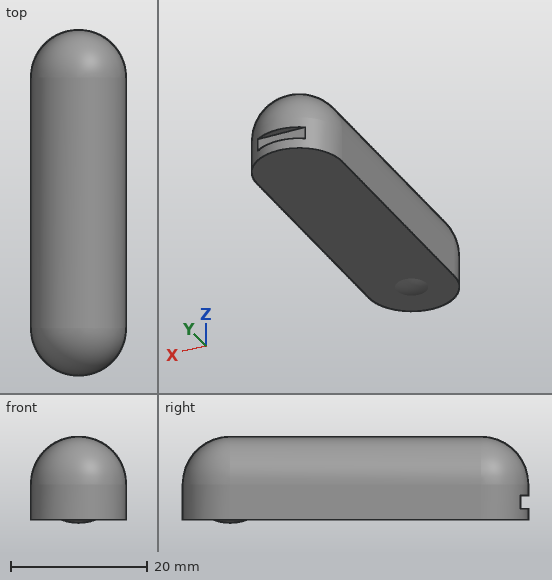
import cadquery as cq

length = 50.8
width = 14.0
height = 12.7
bump_height = 0.45
bump_radius = 2.45
notch_depth = 1.15
notch_height = 1.95

end_radius = width / 2
end_center_y = length / 2 - end_radius
wall_height = height - end_radius - bump_height

cap_sphere_radius = (bump_radius**2 + bump_height**2) / (2 * bump_height)


def lower_body():
    """Straight-walled stadium, with its flat base on Z = 0."""
    return cq.Workplane("XY").slot2D(length, width, 90).extrude(wall_height)


def rounded_top():
    """Upper half of a lengthwise round bar with ball ends, resting on the straight walls."""
    bar = cq.Workplane("XZ").circle(end_radius).extrude(end_center_y, both=True)
    ends = cq.Workplane("XY").pushPoints([(0, -end_center_y), (0, end_center_y)]).sphere(end_radius)
    upper_half = cq.Workplane("XY").box(width, length, end_radius, centered=(True, True, False))
    return bar.union(ends).intersect(upper_half).translate((0, 0, wall_height))


def bump():
    """Shallow spherical cap below the base, centred on the -Y end arc."""
    cap = (
        cq.Workplane("XZ")
        .lineTo(0, -bump_height)
        .radiusArc((bump_radius, 0), -cap_sphere_radius)
        .close()
        .revolve(360, (0, 0, 0), (0, 1, 0))
    )
    return cap.translate((0, -end_center_y, 0))


def end_notch():
    """Straight slot across the +Y end, at mid-height of the straight wall."""
    return cq.Workplane("XY").box(width, 2 * notch_depth, notch_height).translate(
        (0, length / 2, wall_height / 2)
    )


result = lower_body().union(rounded_top()).union(bump()).cut(end_notch())